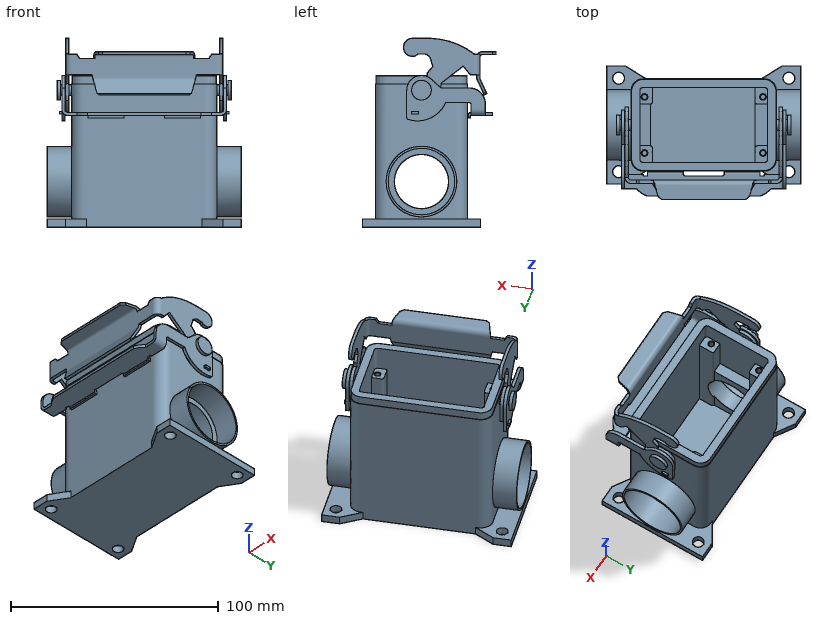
import cadquery as cq
import math

BODY_LENGTH = 70.0
BODY_WIDTH = 44.5
BODY_CORNER_RADIUS = 6.0
SHOULDER_Z = 69.0
RIM_Z = 73.0
RIM_INSET = 0.25
CAVITY_LENGTH = 61.5
CAVITY_WIDTH = 36.0
CAVITY_CORNER_RADIUS = 1.5
FLOOR_THICKNESS = 4.0

BASE_LENGTH = 93.5
BASE_WIDTH = 57.0
BASE_THICKNESS = 4.0
EAR_TIP_X = 37.8
EAR_ROOT_X = 27.8
MOUNT_PITCH_X = 82.0
MOUNT_PITCH_Y = 45.0
MOUNT_HOLE_DIAMETER = 5.6

PORT_Z = 22.0
PORT_OUTER_DIAMETER = 34.0
PORT_SOCKET_DIAMETER = 32.0
PORT_HOLE_DIAMETER = 26.0
PORT_SOCKET_DEPTH = 13.0
LEFT_SHELF_WIDTH = 5.15
RIGHT_SHELF_WIDTH = 6.0
SHELF_TOP_Z = 40.0

POST_LENGTH = 6.0
POST_WIDTH = 8.0
POST_TOP_Z = 61.0
POST_EDGE_RADIUS = 1.0
SCREW_PITCH_X = 57.0
SCREW_PITCH_Y = 27.0
SCREW_HOLE_DIAMETER = 2.5
SCREW_HOLE_CHAMFER = 0.35
SCREW_HOLE_DEPTH = 15.0

PIVOT_Z = 66.0
PIVOT_DIAMETER = 5.2
PIVOT_HEAD_DIAMETER = 9.5
PIVOT_HEAD_THICKNESS = 1.6
PIVOT_END_X = 41.9

SHEET = 1.6
BEND_RADIUS = 3.0
LATCH_OUTER_X = 37.9
HANDLE_OUTER_X = 39.7

LATCH_FRONT_Y = -28.2
LATCH_BAR_BOTTOM_Z = 73.3
LATCH_BAR_TOP_Z = 83.3
LATCH_NOTCH_Z = 81.35
LATCH_NOTCH_OUTER_X = 32.4
LATCH_NOTCH_FOOT_X = 31.1
HOOK_RADIUS = 4.4
HOOK_Y = 4.3
LATCH_TOP_Z = 91.0
LATCH_HUB_RADIUS = 6.5
LATCH_FOOT_RADIUS = 10.6
LATCH_NECK_Y = -2.7
LATCH_LEG_Y = -9.4
LATCH_LEG_Z = 69.3
LATCH_BAR_HEEL_Y = -23.5
LATCH_WINDOW_PEAK = (-20.1, 77.5)
LATCH_BACK_START_Y = -4.3
LATCH_BACK_MID = (-15.1, 89.0)
LATCH_BACK_END_Z = 83.6
LATCH_NECK_Z = 74.2
LATCH_NOSE = (-5.4, 77.35)
THROAT_BOTTOM = (-4.4, 80.7)
THROAT_MID = (-3.2, 82.6)
THROAT_TOP_Z = 83.35
THROAT_START_Y = -1.4
THROAT_END_Y = 1.8
HOOK_END_ANGLE = 250.0

LIP_THICKNESS = 1.45
UPPER_LIP_TOP_Z = 84.55
UPPER_LIP_TIP_Y = -35.98
UPPER_LIP_INNER_RADIUS = 1.1
LIP_ROOT_X = 24.4
LIP_KNEE_X = 23.6
LIP_KNEE_Y = -28.6
LIP_SHOULDER_X = 22.1
LIP_TIP_X = 20.2
LIP_SHOULDER_Y = -34.3
LOWER_LIP_ROOT_X = 25.2
LOWER_LIP_SHOULDER_X = 22.8
LOWER_LIP_TIP_X = 21.7
LOWER_LIP_SHOULDER_Z = 64.6
LOWER_LIP_TIP_Z = 63.75
LOWER_LIP_BEND_Z = 71.4
LOWER_LIP_BEND_LENGTH = 0.45
LOWER_LIP_LENGTH = 7.8
LOWER_LIP_ANGLE = 25.0

HANDLE_BOTTOM_Z = 53.7
HANDLE_ARM_TOP_Z = 67.1
HANDLE_ARM_BOTTOM_Z = 60.0
HANDLE_FRONT_Y = -30.8
HANDLE_BACK_Y = -23.8
HANDLE_ELBOW_RADIUS = 7.8
HANDLE_INNER_ELBOW_RADIUS = 1.0
HANDLE_HUB_RADIUS = 7.1
HANDLE_SKIRT_RADIUS = 14.8
HANDLE_SKIRT_Y = 1.9
HANDLE_SKIRT_END_Y = -11.6
SKIRT_MID_ANGLE = 240.0
HANDLE_CORNER_RADIUS = 1.0
HANDLE_NECK_Y = -9.3
HANDLE_LEDGE_Y = -34.2
HANDLE_LEDGE_X = 27.4
HANDLE_LEDGE_MID = (29.9, -32.9)
HANDLE_LEDGE_ROOT_X = 32.4
FLAP_OUTER_X = 27.1
FLAP_INNER_X = 9.75
FLAP_BOTTOM_Z = 52.65
FLAP_BACK_Y = -22.4
FLAP_THICKNESS = 1.1
RELIEF_Y = -24.5
RELIEF_OUTER_X = 29.1
RELIEF_CORNER = 0.6
STOP_LENGTH = 3.2
STOP_HEIGHT = 1.4
STOP_Y = 3.1
STOP_Z = 55.1
STOP_END_X = 40.8

SIDES = (-1, 1)


def box(x0, x1, y0, y1, z0, z1):
    """Box between two opposite corners, given in any order of X."""
    return (
        cq.Workplane("XY")
        .box(abs(x1 - x0), y1 - y0, z1 - z0, centered=False)
        .translate((min(x0, x1), y0, z0))
    )


def cylinder_x(diameter, x0, x1, z):
    """Cylinder along X on the plane Y = 0."""
    return (
        cq.Workplane("YZ", origin=(min(x0, x1), 0, 0))
        .center(0, z)
        .circle(diameter / 2)
        .extrude(abs(x1 - x0))
    )


def across(outline, half_length):
    """Extrude a closed YZ outline symmetrically along X."""
    return outline.close().extrude(half_length, both=True)


def on_circle(center_y, center_z, radius, angle):
    """Point of a YZ circle at an angle in degrees, measured from +Y towards +Z."""
    turn = math.radians(angle)
    return (center_y + radius * math.cos(turn), center_z + radius * math.sin(turn))


def rounded_block(length, width, radius, z0, z1):
    return (
        cq.Workplane("XY", origin=(0, 0, z0))
        .rect(length, width)
        .extrude(z1 - z0)
        .edges("|Z")
        .fillet(radius)
    )


def make_base():
    half_x = BASE_LENGTH / 2
    half_y = BASE_WIDTH / 2
    body_y = BODY_WIDTH / 2
    quarter = [(0, body_y), (EAR_ROOT_X, body_y), (EAR_TIP_X, half_y), (half_x, half_y)]
    right = quarter + [(x, -y) for x, y in reversed(quarter)]
    left = [(-x, -y) for x, y in right[1:-1]]
    plate = cq.Workplane("XY").polyline(right[:-1] + left).close().extrude(BASE_THICKNESS)
    return (
        plate.faces(">Z")
        .workplane(origin=(0, 0, BASE_THICKNESS))
        .rarray(MOUNT_PITCH_X, MOUNT_PITCH_Y, 2, 2)
        .hole(MOUNT_HOLE_DIAMETER)
    )


def make_posts():
    """Four screw posts standing in the corners of the cavity."""
    x1 = CAVITY_LENGTH / 2
    y1 = CAVITY_WIDTH / 2
    post = (
        box(x1 - POST_LENGTH, x1, y1 - POST_WIDTH, y1, 0, POST_TOP_Z)
        .edges("|Z and <X and <Y")
        .fillet(POST_EDGE_RADIUS)
    )
    bore = (
        cq.Workplane("XY", origin=(SCREW_PITCH_X / 2, SCREW_PITCH_Y / 2, POST_TOP_Z))
        .circle(SCREW_HOLE_DIAMETER / 2)
        .extrude(-SCREW_HOLE_DEPTH)
    )
    countersink = (
        cq.Workplane("XY", origin=(SCREW_PITCH_X / 2, SCREW_PITCH_Y / 2, POST_TOP_Z))
        .circle(SCREW_HOLE_DIAMETER / 2 + SCREW_HOLE_CHAMFER)
        .extrude(-SCREW_HOLE_CHAMFER, taper=45)
    )
    pair = post.cut(bore).cut(countersink)
    pair = pair.union(pair.mirror("XZ"))
    return pair.union(pair.mirror("YZ"))


def make_housing():
    shell = rounded_block(BODY_LENGTH, BODY_WIDTH, BODY_CORNER_RADIUS, 0, SHOULDER_Z)
    shell = shell.union(
        rounded_block(
            BODY_LENGTH - 2 * RIM_INSET,
            BODY_WIDTH - 2 * RIM_INSET,
            BODY_CORNER_RADIUS - RIM_INSET,
            SHOULDER_Z,
            RIM_Z,
        )
    )
    cavity = rounded_block(CAVITY_LENGTH, CAVITY_WIDTH, CAVITY_CORNER_RADIUS, FLOOR_THICKNESS, RIM_Z)
    shelf_y = CAVITY_WIDTH / 2
    for side, width in zip(SIDES, (LEFT_SHELF_WIDTH, RIGHT_SHELF_WIDTH)):
        wall_x = side * CAVITY_LENGTH / 2
        cavity = cavity.cut(box(wall_x, wall_x - side * width, -shelf_y, shelf_y, 0, SHELF_TOP_Z))
    housing = shell.union(make_base()).cut(cavity.cut(make_posts()))
    mouth_x = BASE_LENGTH / 2
    inner_x = CAVITY_LENGTH / 2 - RIGHT_SHELF_WIDTH
    for side in SIDES:
        mouth = side * mouth_x
        housing = housing.union(
            cylinder_x(PORT_OUTER_DIAMETER, mouth, side * CAVITY_LENGTH / 2, PORT_Z)
        )
        seat = side * (mouth_x - PORT_SOCKET_DEPTH)
        housing = housing.cut(cylinder_x(PORT_SOCKET_DIAMETER, mouth, seat, PORT_Z))
        housing = housing.cut(cylinder_x(PORT_HOLE_DIAMETER, mouth, side * inner_x, PORT_Z))
    return housing


def make_pivot(side):
    wall_x = side * (CAVITY_LENGTH + BODY_LENGTH) / 4
    end_x = side * PIVOT_END_X
    head_x = end_x - side * PIVOT_HEAD_THICKNESS
    shaft = cylinder_x(PIVOT_DIAMETER, wall_x, end_x, PIVOT_Z)
    return shaft.union(cylinder_x(PIVOT_HEAD_DIAMETER, head_x, end_x, PIVOT_Z))


def latch_side_outline():
    hook_z = LATCH_TOP_Z - HOOK_RADIUS
    hub_side_z = PIVOT_Z + math.sqrt(LATCH_HUB_RADIUS**2 - LATCH_NECK_Y**2)
    foot_back_z = PIVOT_Z - math.sqrt(LATCH_FOOT_RADIUS**2 - LATCH_HUB_RADIUS**2)
    foot_front_z = PIVOT_Z - math.sqrt(LATCH_FOOT_RADIUS**2 - LATCH_LEG_Y**2)
    return (
        cq.Workplane("YZ")
        .moveTo(HOOK_Y, LATCH_TOP_Z)
        .lineTo(LATCH_BACK_START_Y, LATCH_TOP_Z)
        .threePointArc(LATCH_BACK_MID, (LATCH_FRONT_Y + BEND_RADIUS, LATCH_BACK_END_Z))
        .lineTo(LATCH_FRONT_Y + BEND_RADIUS, LATCH_BAR_TOP_Z)
        .lineTo(LATCH_FRONT_Y, LATCH_BAR_TOP_Z)
        .lineTo(LATCH_FRONT_Y, LATCH_BAR_BOTTOM_Z)
        .lineTo(LATCH_BAR_HEEL_Y, LATCH_BAR_BOTTOM_Z)
        .lineTo(*LATCH_WINDOW_PEAK)
        .lineTo(LATCH_LEG_Y, LATCH_LEG_Z)
        .lineTo(LATCH_LEG_Y, foot_front_z)
        .threePointArc((0, PIVOT_Z - LATCH_FOOT_RADIUS), (LATCH_HUB_RADIUS, foot_back_z))
        .lineTo(LATCH_HUB_RADIUS, PIVOT_Z)
        .radiusArc((LATCH_NECK_Y, hub_side_z), -LATCH_HUB_RADIUS)
        .lineTo(LATCH_NECK_Y, LATCH_NECK_Z)
        .lineTo(*LATCH_NOSE)
        .lineTo(*THROAT_BOTTOM)
        .threePointArc(THROAT_MID, (THROAT_START_Y, THROAT_TOP_Z))
        .lineTo(THROAT_END_Y, THROAT_TOP_Z)
        .lineTo(*on_circle(HOOK_Y, hook_z, HOOK_RADIUS, HOOK_END_ANGLE))
        .threePointArc((HOOK_Y + HOOK_RADIUS, hook_z), (HOOK_Y, LATCH_TOP_Z))
    )


def make_upper_lip():
    """Lip folded outwards from the top of the latch bar."""
    inner_y = LATCH_FRONT_Y + SHEET
    bend_radius = UPPER_LIP_INNER_RADIUS + SHEET
    under_z = UPPER_LIP_TOP_Z - LIP_THICKNESS
    profile = (
        cq.Workplane("YZ")
        .moveTo(inner_y, LATCH_NOTCH_Z)
        .lineTo(inner_y, UPPER_LIP_TOP_Z - bend_radius)
        .radiusArc((inner_y - bend_radius, UPPER_LIP_TOP_Z), -bend_radius)
        .lineTo(UPPER_LIP_TIP_Y, UPPER_LIP_TOP_Z)
        .lineTo(UPPER_LIP_TIP_Y, under_z)
        .lineTo(LATCH_FRONT_Y - UPPER_LIP_INNER_RADIUS, under_z)
        .radiusArc((LATCH_FRONT_Y, under_z - UPPER_LIP_INNER_RADIUS), UPPER_LIP_INNER_RADIUS)
        .lineTo(LATCH_FRONT_Y, LATCH_NOTCH_Z)
    )
    right = [
        (LIP_ROOT_X, inner_y),
        (LIP_KNEE_X, LIP_KNEE_Y),
        (LIP_SHOULDER_X, LIP_SHOULDER_Y),
        (LIP_TIP_X, UPPER_LIP_TIP_Y),
    ]
    left = [(-x, y) for x, y in reversed(right)]
    plan = (
        cq.Workplane("XY", origin=(0, 0, LATCH_NOTCH_Z))
        .polyline(right + left)
        .close()
        .extrude(UPPER_LIP_TOP_Z - LATCH_NOTCH_Z)
    )
    return across(profile, LIP_ROOT_X).intersect(plan)


def make_lower_lip():
    """Lip sloping outwards from the bottom of the latch bar."""
    inner_y = LATCH_FRONT_Y + SHEET
    slope = math.radians(LOWER_LIP_ANGLE)
    out_y, out_z = -math.sin(slope), -math.cos(slope)
    bend_end_y = LATCH_FRONT_Y + LOWER_LIP_BEND_LENGTH * out_y
    bend_end_z = LOWER_LIP_BEND_Z + LOWER_LIP_BEND_LENGTH * out_z
    tip_y = LATCH_FRONT_Y + LOWER_LIP_LENGTH * out_y
    tip_z = LOWER_LIP_BEND_Z + LOWER_LIP_LENGTH * out_z
    inner_tip_y = tip_y - LIP_THICKNESS * out_z
    inner_tip_z = tip_z + LIP_THICKNESS * out_y
    inner_bend_z = inner_tip_z + (inner_y - inner_tip_y) / math.tan(slope)
    profile = (
        cq.Workplane("YZ")
        .moveTo(inner_y, LATCH_BAR_BOTTOM_Z)
        .lineTo(LATCH_FRONT_Y, LATCH_BAR_BOTTOM_Z)
        .lineTo(LATCH_FRONT_Y, LOWER_LIP_BEND_Z + LOWER_LIP_BEND_LENGTH)
        .tangentArcPoint((bend_end_y, bend_end_z), relative=False)
        .lineTo(tip_y, tip_z)
        .lineTo(inner_tip_y, inner_tip_z)
        .lineTo(inner_y, inner_bend_z)
    )
    right = [
        (LOWER_LIP_ROOT_X, LATCH_BAR_BOTTOM_Z),
        (LOWER_LIP_SHOULDER_X, LOWER_LIP_SHOULDER_Z),
        (LOWER_LIP_TIP_X, LOWER_LIP_TIP_Z),
    ]
    left = [(-x, z) for x, z in reversed(right)]
    elevation = cq.Workplane("XZ").polyline(right + left).close().extrude(-UPPER_LIP_TIP_Y)
    return across(profile, LOWER_LIP_ROOT_X).intersect(elevation)


def make_latch():
    back_y = HOOK_Y + HOOK_RADIUS
    outer = (
        box(-LATCH_OUTER_X, LATCH_OUTER_X, LATCH_FRONT_Y, back_y, 0, LATCH_TOP_Z)
        .edges("|Z and <Y")
        .fillet(BEND_RADIUS)
    )
    inner_x = LATCH_OUTER_X - SHEET
    inner = (
        box(-inner_x, inner_x, LATCH_FRONT_Y + SHEET, back_y, 0, LATCH_TOP_Z)
        .edges("|Z and <Y")
        .fillet(BEND_RADIUS - SHEET)
    )
    latch = outer.cut(inner).intersect(across(latch_side_outline(), LATCH_OUTER_X))
    notch = (
        cq.Workplane("XZ")
        .polyline(
            [
                (-LATCH_NOTCH_OUTER_X, LATCH_BAR_TOP_Z),
                (-LATCH_NOTCH_FOOT_X, LATCH_NOTCH_Z),
                (LATCH_NOTCH_FOOT_X, LATCH_NOTCH_Z),
                (LATCH_NOTCH_OUTER_X, LATCH_BAR_TOP_Z),
            ]
        )
        .close()
        .extrude(-LATCH_FRONT_Y)
    )
    return latch.cut(notch).union(make_upper_lip()).union(make_lower_lip())


def handle_side_outline():
    hub_reach = math.hypot(HANDLE_NECK_Y, HANDLE_ARM_TOP_Z - PIVOT_Z)
    neck_angle = math.degrees(math.atan2(HANDLE_ARM_TOP_Z - PIVOT_Z, HANDLE_NECK_Y))
    tangent_angle = neck_angle - math.degrees(math.acos(HANDLE_HUB_RADIUS / hub_reach))
    skirt_corner_z = PIVOT_Z - math.sqrt(
        HANDLE_SKIRT_RADIUS**2 - (HANDLE_HUB_RADIUS - HANDLE_SKIRT_Y) ** 2
    )
    elbow_r = HANDLE_INNER_ELBOW_RADIUS
    return (
        cq.Workplane("YZ")
        .moveTo(HANDLE_HUB_RADIUS, PIVOT_Z)
        .threePointArc(
            on_circle(0, PIVOT_Z, HANDLE_HUB_RADIUS, tangent_angle / 2),
            on_circle(0, PIVOT_Z, HANDLE_HUB_RADIUS, tangent_angle),
        )
        .lineTo(HANDLE_NECK_Y, HANDLE_ARM_TOP_Z)
        .lineTo(HANDLE_FRONT_Y + HANDLE_ELBOW_RADIUS, HANDLE_ARM_TOP_Z)
        .radiusArc((HANDLE_FRONT_Y, HANDLE_ARM_TOP_Z - HANDLE_ELBOW_RADIUS), -HANDLE_ELBOW_RADIUS)
        .lineTo(HANDLE_FRONT_Y, HANDLE_BOTTOM_Z)
        .lineTo(HANDLE_BACK_Y, HANDLE_BOTTOM_Z)
        .lineTo(HANDLE_BACK_Y, HANDLE_ARM_BOTTOM_Z - elbow_r)
        .radiusArc((HANDLE_BACK_Y + elbow_r, HANDLE_ARM_BOTTOM_Z), elbow_r)
        .lineTo(HANDLE_SKIRT_END_Y, HANDLE_ARM_BOTTOM_Z)
        .threePointArc(
            on_circle(HANDLE_SKIRT_Y, PIVOT_Z, HANDLE_SKIRT_RADIUS, SKIRT_MID_ANGLE),
            (HANDLE_HUB_RADIUS, skirt_corner_z),
        )
    )


def handle_ledge_plan():
    """Plan of the cross plate that joins the two handle arms."""
    right = [
        (FLAP_INNER_X - RELIEF_CORNER, RELIEF_Y),
        (FLAP_INNER_X, RELIEF_Y + RELIEF_CORNER),
        (FLAP_INNER_X, HANDLE_BACK_Y),
        (FLAP_OUTER_X, HANDLE_BACK_Y),
        (FLAP_OUTER_X, RELIEF_Y),
        (RELIEF_OUTER_X, RELIEF_Y),
        (RELIEF_OUTER_X, HANDLE_BACK_Y),
        (HANDLE_OUTER_X, HANDLE_BACK_Y),
        (HANDLE_OUTER_X, HANDLE_FRONT_Y),
        (HANDLE_LEDGE_ROOT_X, HANDLE_FRONT_Y),
    ]
    left = [(-x, y) for x, y in reversed(right)]
    return (
        cq.Workplane("XY")
        .polyline(right)
        .threePointArc(HANDLE_LEDGE_MID, (HANDLE_LEDGE_X, HANDLE_LEDGE_Y))
        .lineTo(-HANDLE_LEDGE_X, HANDLE_LEDGE_Y)
        .threePointArc((-HANDLE_LEDGE_MID[0], HANDLE_LEDGE_MID[1]), left[0])
        .polyline(left[1:], includeCurrent=True)
        .close()
        .extrude(RIM_Z)
    )


def make_flap(side):
    """Flap bent down from the back edge of the cross plate, facing the body."""
    top_z = HANDLE_BOTTOM_Z + SHEET
    front_y = FLAP_BACK_Y - FLAP_THICKNESS
    reach = FLAP_BACK_Y - HANDLE_BACK_Y
    outline = (
        cq.Workplane("YZ", origin=(FLAP_INNER_X, 0, 0))
        .moveTo(HANDLE_BACK_Y, top_z)
        .radiusArc((FLAP_BACK_Y, top_z - reach), reach)
        .lineTo(FLAP_BACK_Y, FLAP_BOTTOM_Z)
        .lineTo(front_y, FLAP_BOTTOM_Z)
        .lineTo(front_y, HANDLE_BOTTOM_Z)
        .lineTo(HANDLE_BACK_Y, HANDLE_BOTTOM_Z)
        .close()
    )
    flap = outline.extrude(FLAP_OUTER_X - FLAP_INNER_X)
    return flap if side > 0 else flap.mirror("YZ")


def make_handle():
    """U-shaped lever: two side arms, a cross plate, flaps and stop tabs."""
    back_y = HANDLE_SKIRT_Y + HANDLE_SKIRT_RADIUS
    inner_x = HANDLE_OUTER_X - SHEET
    inner_z = HANDLE_BOTTOM_Z + SHEET
    channel = (
        box(-HANDLE_OUTER_X, HANDLE_OUTER_X, HANDLE_LEDGE_Y, back_y, HANDLE_BOTTOM_Z, RIM_Z + SHEET)
        .edges("|Y and <Z")
        .fillet(BEND_RADIUS)
        .cut(
            box(-inner_x, inner_x, HANDLE_LEDGE_Y, back_y, inner_z, RIM_Z + SHEET)
            .edges("|Y and <Z")
            .fillet(BEND_RADIUS - SHEET)
        )
    )
    outline = across(handle_side_outline(), HANDLE_OUTER_X)
    skirt_corner = cq.selectors.NearestToPointSelector((0, HANDLE_HUB_RADIUS, HANDLE_BOTTOM_Z))
    outline = outline.edges("|X").edges(skirt_corner).fillet(HANDLE_CORNER_RADIUS)

    fold_top_z = HANDLE_BOTTOM_Z + BEND_RADIUS
    fold_zone = box(
        -HANDLE_OUTER_X, HANDLE_OUTER_X, HANDLE_LEDGE_Y, HANDLE_BACK_Y, HANDLE_BOTTOM_Z, fold_top_z
    )
    gap = box(-inner_x, inner_x, HANDLE_LEDGE_Y, back_y, 0, RIM_Z + SHEET)
    handle = outline.cut(gap).cut(fold_zone)
    folded = channel.intersect(fold_zone).intersect(handle_ledge_plan())
    ledge_front = box(
        -HANDLE_OUTER_X, HANDLE_OUTER_X, HANDLE_LEDGE_Y, HANDLE_FRONT_Y, inner_z, fold_top_z
    )
    handle = handle.union(folded.cut(ledge_front))
    for side in SIDES:
        handle = handle.union(make_flap(side))
        handle = handle.union(
            box(
                side * (HANDLE_OUTER_X - SHEET),
                side * STOP_END_X,
                STOP_Y - STOP_LENGTH / 2,
                STOP_Y + STOP_LENGTH / 2,
                STOP_Z - STOP_HEIGHT / 2,
                STOP_Z + STOP_HEIGHT / 2,
            )
        )
    return handle


def make_part():
    part = make_housing()
    part = part.union(make_latch()).union(make_handle())
    for side in SIDES:
        part = part.union(make_pivot(side))
    return part


result = make_part()